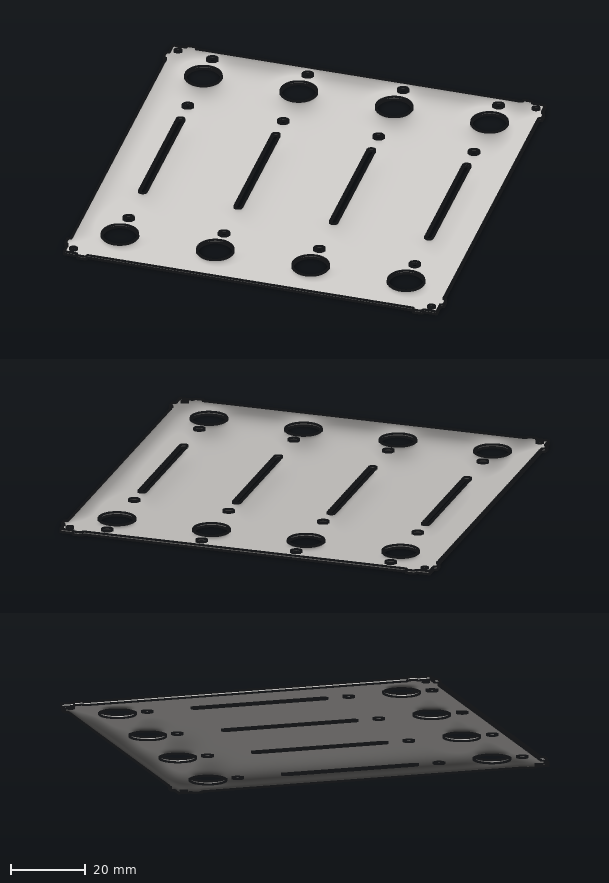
import cadquery as cq
import math

overall = 105.6
thickness = 0.91

bump_width = 3.5
bump_offset = 46.9
flank_radius = 0.4
bump_height = 2 * flank_radius

edge_count = 4
half_side = overall / 2 - bump_height

column_count = 4
outer_column = 39.9
column_pitch = 2 * outer_column / (column_count - 1)
columns = [i * column_pitch - outer_column for i in range(column_count)]

corner_hole_diameter = 1.8
corner_hole_offset = 50.0

large_hole_diameter = 9.8
large_hole_offset = outer_column

small_hole_diameter = 2.9
small_hole_rows = (48.5, 25.0, -31.6)

slot_length = 38.0
slot_width = 2.0


def turned(x, y, quarter_turns):
    """Point (x, y) turned clockwise about the plate centre by whole quarter turns."""
    for _ in range(quarter_turns):
        x, y = y, -x
    return (x, y)


def make_plate():
    """Square plate with two bumps on each edge, each flank an S of two tangent arcs."""
    half_flat = bump_width / 2 - 2 * flank_radius
    arc_sag = flank_radius * (1 - math.sqrt(0.5))
    flank = [
        (bump_width / 2, 0),
        (bump_width / 2 - flank_radius + arc_sag, arc_sag),
        (bump_width / 2 - flank_radius, flank_radius),
        (half_flat + flank_radius - arc_sag, bump_height - arc_sag),
        (half_flat, bump_height),
    ]

    outline = cq.Workplane("XY").moveTo(-half_side, half_side)
    for edge in range(edge_count):
        for along in (-bump_offset, bump_offset):
            rise = [turned(along - x, half_side + y, edge) for x, y in flank]
            fall = [turned(along + x, half_side + y, edge) for x, y in reversed(flank)]
            for side in (rise, fall):
                outline = outline.lineTo(*side[0])
                outline = outline.threePointArc(side[1], side[2])
                outline = outline.threePointArc(side[3], side[4])
        if edge < edge_count - 1:
            outline = outline.lineTo(*turned(half_side, half_side, edge))
    return outline.close().extrude(thickness)


def cut_holes(body, centres, diameter):
    """Cut round through holes at the given centres."""
    return body.cut(cq.Workplane("XY").pushPoints(centres).circle(diameter / 2).extrude(thickness))


def cut_slots(body):
    """Cut one long through slot, parallel to Y, in each column."""
    centres = [(x, 0) for x in columns]
    slots = cq.Workplane("XY").pushPoints(centres).slot2D(slot_length, slot_width, 90).extrude(thickness)
    return body.cut(slots)


corner_centres = [
    (x, y)
    for x in (-corner_hole_offset, corner_hole_offset)
    for y in (-corner_hole_offset, corner_hole_offset)
]
large_centres = [(x, y) for x in columns for y in (-large_hole_offset, large_hole_offset)]
small_centres = [(x, y) for x in columns for y in small_hole_rows]

result = make_plate()
result = cut_holes(result, corner_centres, corner_hole_diameter)
result = cut_holes(result, large_centres, large_hole_diameter)
result = cut_holes(result, small_centres, small_hole_diameter)
result = cut_slots(result)